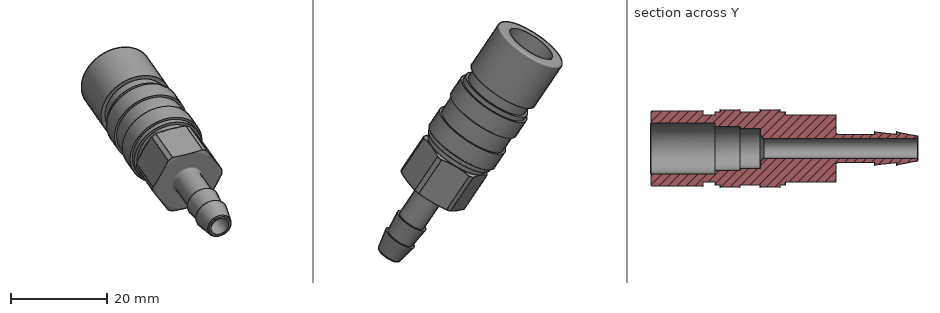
import cadquery as cq
import math

total_length = 55.5
sleeve_end = 10.95
collar_start = 13.4
collar_end = 27.95
band_width = 4.15
band_inset = 1.05
hex_start = 29.15
hex_end = 38.5
barb_start = 46.5
barb_length = 4.5

sleeve_diameter = 15.7
neck_diameter = 14.0
collar_diameter = 15.2
band_diameter = 16.2
stem_diameter = 6.0
barb_diameter = 7.0
tip_diameter = 5.35

hex_across_flats = 14.0
hex_corner_diameter = 15.55
hex_front_bevel = 0.35
hex_rear_bevel = 0.15
hex_face_diameter = 13.9

mouth_round = 0.45
stem_fillet = 0.45
tip_chamfer = 0.2

bore_diameter = 4.0
bore_entry_diameter = 5.55
socket_steps = [(10.5, 13.4), (9.05, 18.6), (8.2, 22.75)]


def cylinder(diameter, start, end):
    """Solid cylinder on the X axis between two stations."""
    return cq.Workplane("YZ", origin=(start, 0, 0)).circle(diameter / 2).extrude(end - start)


def cone(start_diameter, end_diameter, start, end):
    """Solid frustum on the X axis between two stations."""
    profile = [(start, 0), (start, start_diameter / 2), (end, end_diameter / 2), (end, 0)]
    return cq.Workplane("XY").polyline(profile).close().revolve(360, (0, 0, 0), (1, 0, 0))


def make_coupler_body():
    sleeve = cylinder(sleeve_diameter, 0, sleeve_end).faces("<X").edges().fillet(mouth_round)
    body = sleeve.union(cylinder(neck_diameter, sleeve_end, hex_start))
    body = body.union(cylinder(collar_diameter, collar_start, collar_end))
    first_band = collar_start + band_inset
    last_band = collar_end - band_inset - band_width
    for start in (first_band, last_band):
        body = body.union(cylinder(band_diameter, start, start + band_width))
    return body


def make_hexagon():
    length = hex_end - hex_start
    across_corners = hex_across_flats / math.cos(math.radians(30))
    prism = cq.Workplane("YZ", origin=(hex_start, 0, 0)).polygon(6, across_corners).extrude(length)
    front_bevel_end = hex_start + hex_front_bevel
    rear_bevel_start = hex_end - hex_rear_bevel
    envelope = cylinder(hex_corner_diameter, front_bevel_end, rear_bevel_start)
    envelope = envelope.union(cone(hex_face_diameter, hex_corner_diameter, hex_start, front_bevel_end))
    envelope = envelope.union(cone(hex_corner_diameter, hex_face_diameter, rear_bevel_start, hex_end))
    return prism.intersect(envelope)


def make_hose_tail():
    """Barbed stem with a concave fillet at the hexagon and a chamfered tip."""
    stem_radius = stem_diameter / 2
    barb_radius = barb_diameter / 2
    tip_radius = tip_diameter / 2
    second_barb = barb_start + barb_length
    fillet_sag = stem_fillet * (1 - math.sqrt(0.5))
    return (
        cq.Workplane("XY")
        .moveTo(hex_end, 0)
        .lineTo(hex_end, stem_radius + stem_fillet)
        .threePointArc(
            (hex_end + fillet_sag, stem_radius + fillet_sag),
            (hex_end + stem_fillet, stem_radius),
        )
        .lineTo(barb_start, stem_radius)
        .lineTo(barb_start, barb_radius)
        .lineTo(second_barb, stem_radius)
        .lineTo(second_barb, barb_radius)
        .lineTo(total_length - tip_chamfer, tip_radius)
        .lineTo(total_length, tip_radius - tip_chamfer)
        .lineTo(total_length, 0)
        .close()
        .revolve(360, (0, 0, 0), (1, 0, 0))
    )


def make_bore():
    """Through bore, stepped socket and the conical entry between them."""
    bore = cylinder(bore_diameter, 0, total_length)
    for diameter, end in socket_steps:
        bore = bore.union(cylinder(diameter, 0, end))
    socket_end = socket_steps[-1][1]
    entry_depth = (bore_entry_diameter - bore_diameter) / 2
    return bore.union(cone(bore_entry_diameter, bore_diameter, socket_end, socket_end + entry_depth))


result = make_coupler_body().union(make_hexagon()).union(make_hose_tail()).cut(make_bore())